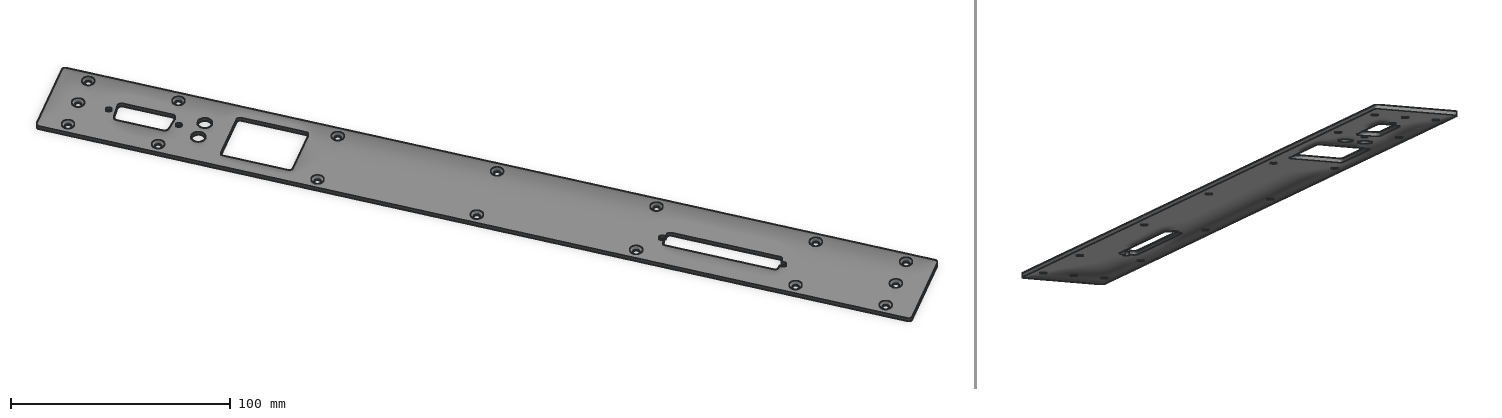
import cadquery as cq

ALONG_X = (1, 0)
ALONG_Y = (0, 1)

length = 419.0
width = 40.5
thickness = 2.0
corner_radius = 1.5

screw_pitch = 76.3
end_screw_x = 195.7
screw_row_y = 15.0
screw_diameter = 3.2
screw_head_diameter = 6.0
countersink_angle = 90.0

connector_x = -164.3
connector_top_width = 28.0
connector_bottom_width = 26.0
connector_height = 11.5
connector_corner_radius = 2.0
jackscrew_spacing = 33.5
jackscrew_diameter = 3.0

lamp_x = -136.5
lamp_spacing = 9.5
lamp_diameter = 6.5

window_x = -106.5
window_length = 34.5
window_width = 26.5
window_corner_radius = 1.5

slot_x = 114.0
slot_y = -3.8
slot_length = 55.5
slot_width = 9.0
slot_corner_radius = 1.5
slot_hole_spacing = 58.0
slot_hole_diameter = 3.2


def hole_pair(spacing, diameter, direction):
    """Two through holes centred on the origin, spaced along the given direction."""
    half_x = direction[0] * spacing / 2
    half_y = direction[1] * spacing / 2
    return (
        cq.Workplane("XY")
        .pushPoints([(-half_x, -half_y), (half_x, half_y)])
        .circle(diameter / 2)
        .extrude(thickness)
    )


def rounded_rectangle(size_x, size_y, radius):
    """A centred block, as thick as the plate, with rounded vertical edges."""
    block = cq.Workplane("XY").rect(size_x, size_y).extrude(thickness)
    return block.edges("|Z").fillet(radius)


def screw_positions():
    inner_columns = [i * screw_pitch for i in range(-2, 3)]
    end_columns = [-end_screw_x, end_screw_x]
    edge_rows = [(x, y) for x in inner_columns + end_columns for y in (-screw_row_y, screw_row_y)]
    middle_row = [(x, 0) for x in end_columns]
    return edge_rows + middle_row


def connector_cutter():
    half_top = connector_top_width / 2
    half_bottom = connector_bottom_width / 2
    half_height = connector_height / 2
    corners = [
        (-half_top, half_height),
        (half_top, half_height),
        (half_bottom, -half_height),
        (-half_bottom, -half_height),
    ]
    opening = cq.Workplane("XY").polyline(corners).close().extrude(thickness)
    opening = opening.edges("|Z").fillet(connector_corner_radius)
    jackscrews = hole_pair(jackscrew_spacing, jackscrew_diameter, ALONG_X)
    return opening.union(jackscrews).translate((connector_x, 0, 0))


def lamp_cutter():
    return hole_pair(lamp_spacing, lamp_diameter, ALONG_Y).translate((lamp_x, 0, 0))


def window_cutter():
    window = rounded_rectangle(window_length, window_width, window_corner_radius)
    return window.translate((window_x, 0, 0))


def slot_cutter():
    slot = rounded_rectangle(slot_length, slot_width, slot_corner_radius)
    end_holes = hole_pair(slot_hole_spacing, slot_hole_diameter, ALONG_X)
    return slot.union(end_holes).translate((slot_x, slot_y, 0))


def drill_screw_holes(plate):
    return (
        plate.faces(">Z")
        .workplane(origin=(0, 0, 0))
        .pushPoints(screw_positions())
        .cskHole(screw_diameter, screw_head_diameter, countersink_angle)
    )


plate = rounded_rectangle(length, width, corner_radius)
plate = drill_screw_holes(plate)
for cutter in (connector_cutter(), lamp_cutter(), window_cutter(), slot_cutter()):
    plate = plate.cut(cutter)

result = plate